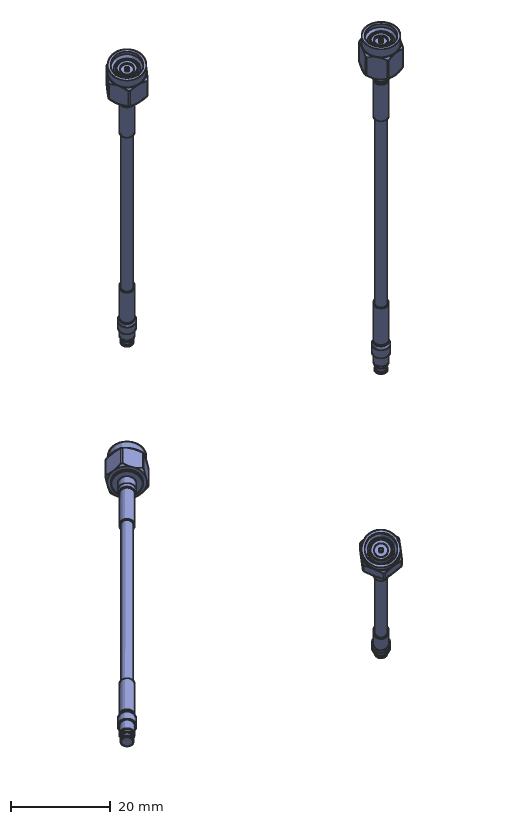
import cadquery as cq
import math


total_length = 94.79

nut_sleeve_radius = 3.9
nut_sleeve_length = 2.25
hex_across_flats = 8.0
hex_corner_radius = 4.51
hex_length = 6.2
hex_chamfer = 0.5
nut_collar_radius = 3.25
nut_collar_length = 0.5
nut_collar_chamfer = 0.12

nut_mouth_radius = 3.28
nut_mouth_depth = 0.9
nut_mouth_cone_height = 0.6
nut_bore_radius = 2.7
nut_back_wall = 1.0

plug_tube_radius = 2.3
plug_tube_bore_radius = 2.08
plug_tube_recess = 0.9
plug_tube_chamfer = 0.1
plug_rear_radius = 1.9
plug_rear_length = 2.25

insulator_recess = 1.3
insulator_length = 5.0
insulator_pocket_radius = 1.42
insulator_pocket_depth = 0.45
pin_radius = 0.46
pin_recess = 1.0
pin_tip_chamfer = 0.2

cable_radius = 1.3
shrink_radius = 1.6
shrink_length = 10.3

shoulder_length = 1.2
shoulder_cone_height = 0.75

snap_flange_radius = plug_rear_radius
snap_flange_length = 2.3
snap_body_radius = 1.58
snap_body_length = 2.77
snap_stop_radius = 1.35
snap_stop_length = 0.97
snap_groove_radius = 1.14
snap_groove_length = 0.85
snap_lip_radius = snap_stop_radius
snap_lip_length = 0.65
snap_tip_chamfer = 0.2
snap_groove_chamfer = 0.25

hex_top = total_length - nut_sleeve_length
hex_bottom = hex_top - hex_length
nut_bottom = hex_bottom - nut_collar_length
nut_seat = nut_bottom + nut_back_wall
nut_mouth_bottom = total_length - nut_mouth_depth
plug_tube_top = total_length - plug_tube_recess
plug_rear_bottom = nut_bottom - plug_rear_length
plug_bottom = plug_rear_bottom - shoulder_length
insulator_top = total_length - insulator_recess
insulator_bottom = insulator_top - insulator_length
pin_top = total_length - pin_recess

snap_stop_bottom = snap_lip_length + snap_groove_length
snap_body_bottom = snap_stop_bottom + snap_stop_length
snap_flange_bottom = snap_body_bottom + snap_body_length
snap_flange_top = snap_flange_bottom + snap_flange_length
snap_plug_top = snap_flange_top + shoulder_length


def turned(points):
    """Solid turned about the Z axis from an outline of (radius, height) points."""
    return cq.Workplane("XZ").polyline(points).close().revolve(360, (0, 0, 0), (0, 1, 0))


def cylinder(radius, bottom, top):
    """Solid cylinder on the Z axis."""
    return cq.Workplane("XY", origin=(0, 0, bottom)).circle(radius).extrude(top - bottom)


def make_coupling_nut():
    """Hexagonal nut with chamfered corners and a stepped opening."""
    hexagon = (
        cq.Workplane("XY", origin=(0, 0, hex_bottom))
        .polygon(6, hex_across_flats / math.cos(math.pi / 6))
        .extrude(hex_length)
        .rotate((0, 0, 0), (0, 0, 1), 30)
    )
    corner_limit = cylinder(hex_corner_radius, hex_bottom, hex_top).edges().chamfer(hex_chamfer)
    sleeve = cylinder(nut_sleeve_radius, hex_top, total_length)
    collar = cylinder(nut_collar_radius, nut_bottom, hex_bottom).faces("<Z").chamfer(nut_collar_chamfer)
    opening = turned([
        (0, total_length),
        (nut_mouth_radius, total_length),
        (nut_mouth_radius, nut_mouth_bottom),
        (nut_bore_radius, nut_mouth_bottom - nut_mouth_cone_height),
        (nut_bore_radius, nut_seat),
        (plug_rear_radius, nut_seat),
        (plug_rear_radius, nut_bottom),
        (0, nut_bottom),
    ])
    return hexagon.intersect(corner_limit).union(sleeve).union(collar).cut(opening)


def make_plug_body():
    """Contact tube seated in the nut, with a rear barrel and a tapered shoulder."""
    return turned([
        (0, plug_bottom),
        (shrink_radius, plug_bottom),
        (shrink_radius, plug_rear_bottom - shoulder_cone_height),
        (plug_rear_radius, plug_rear_bottom),
        (plug_rear_radius, nut_seat),
        (plug_tube_radius, nut_seat),
        (plug_tube_radius, plug_tube_top - plug_tube_chamfer),
        (plug_tube_radius - plug_tube_chamfer, plug_tube_top),
        (plug_tube_bore_radius, plug_tube_top),
        (plug_tube_bore_radius, insulator_bottom),
        (0, insulator_bottom),
    ])


def make_insulator():
    """Insulator filling the contact tube, with a shallow pocket around the pin."""
    pocket_bottom = insulator_top - insulator_pocket_depth
    block = cylinder(plug_tube_bore_radius, insulator_bottom, insulator_top)
    pocket = cylinder(insulator_pocket_radius, pocket_bottom, insulator_top)
    pin_hole = cylinder(pin_radius, insulator_bottom, insulator_top)
    return block.cut(pocket).cut(pin_hole)


def make_contact_pin():
    """Centre pin with a chamfered tip."""
    return cylinder(pin_radius, insulator_bottom, pin_top).faces(">Z").chamfer(pin_tip_chamfer)


def make_cable():
    """Cable running between the two plugs."""
    return cylinder(cable_radius, snap_plug_top, plug_bottom)


def make_shrink_sleeve(bottom):
    """Heat-shrink sleeve fitting closely around the cable."""
    top = bottom + shrink_length
    return cylinder(shrink_radius, bottom, top).cut(cylinder(cable_radius, bottom, top))


def make_snap_body():
    """Body of the snap-in plug: tapered shoulder, flange, barrel and stop."""
    return turned([
        (0, snap_stop_bottom),
        (snap_groove_radius, snap_stop_bottom),
        (snap_stop_radius, snap_stop_bottom + snap_groove_chamfer),
        (snap_stop_radius, snap_body_bottom),
        (snap_body_radius, snap_body_bottom),
        (snap_body_radius, snap_flange_bottom),
        (snap_flange_radius, snap_flange_bottom),
        (snap_flange_radius, snap_flange_top),
        (shrink_radius, snap_flange_top + shoulder_cone_height),
        (shrink_radius, snap_plug_top),
        (0, snap_plug_top),
    ])


def make_snap_tip():
    """Grooved nose of the snap-in plug, ending in a chamfered lip."""
    return turned([
        (0, 0),
        (snap_lip_radius - snap_tip_chamfer, 0),
        (snap_lip_radius, snap_tip_chamfer),
        (snap_lip_radius, snap_lip_length - snap_groove_chamfer),
        (snap_groove_radius, snap_lip_length),
        (snap_groove_radius, snap_stop_bottom),
        (0, snap_stop_bottom),
    ])


coupling_nut = make_coupling_nut()
plug_body = make_plug_body()
insulator = make_insulator()
contact_pin = make_contact_pin()
cable = make_cable()
shrink_bottoms = [snap_plug_top, plug_bottom - shrink_length]
shrink_sleeves = [make_shrink_sleeve(bottom).val() for bottom in shrink_bottoms]
snap_body = make_snap_body()
snap_tip = make_snap_tip()

result = cq.Compound.makeCompound([
    coupling_nut.val(),
    plug_body.val(),
    insulator.val(),
    contact_pin.val(),
    cable.val(),
    *shrink_sleeves,
    snap_body.val(),
    snap_tip.val(),
])